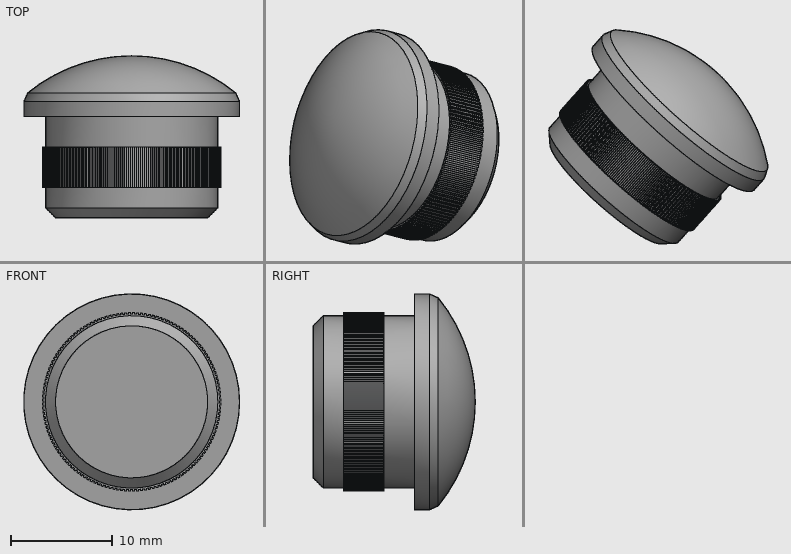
import cadquery as cq
import math

flange_radius = 10.65
flange_rim_height = 1.5
bevel_height = 0.85
dome_base_radius = 10.27
head_height = 6.0

shank_diameter = 17.0
shank_length = 10.0
tip_chamfer = 1.0

knurl_tip_radius = 8.8
knurl_tooth_depth = 0.138
knurl_start = 3.0
knurl_length = 4.0
tooth_count = 140

shank_radius = shank_diameter / 2
knurl_root_radius = knurl_tip_radius - knurl_tooth_depth
tooth_pitch_angle = 360 / tooth_count
tooth_width = math.pi * knurl_tip_radius / tooth_count
dome_base_height = flange_rim_height + bevel_height
dome_height = head_height - dome_base_height
dome_sphere_radius = (dome_base_radius**2 + dome_height**2) / (2 * dome_height)


def make_plug_body():
    """Domed head, flange and chamfered shank, revolved around the Y axis."""
    dome_center = head_height - dome_sphere_radius
    half_angle = math.asin(dome_base_radius / dome_sphere_radius) / 2
    dome_midpoint = (
        dome_sphere_radius * math.sin(half_angle),
        dome_center + dome_sphere_radius * math.cos(half_angle),
    )
    return (
        cq.Workplane("XY")
        .moveTo(0, -shank_length)
        .lineTo(shank_radius - tip_chamfer, -shank_length)
        .lineTo(shank_radius, tip_chamfer - shank_length)
        .lineTo(shank_radius, 0)
        .lineTo(flange_radius, 0)
        .lineTo(flange_radius, flange_rim_height)
        .lineTo(dome_base_radius, dome_base_height)
        .threePointArc(dome_midpoint, (0, head_height))
        .close()
        .revolve(360, (0, 0), (0, 1))
    )


def polar_point(radius, angle):
    """Point at a radius and an angle in degrees."""
    return (radius * math.cos(math.radians(angle)), radius * math.sin(math.radians(angle)))


def make_knurl():
    """Straight-toothed band around the shank, with a gap centred on the X and Z axes."""
    tip_half_angle = math.degrees(math.asin(tooth_width / 2 / knurl_tip_radius))
    root_half_angle = math.degrees(math.asin(tooth_width / 2 / knurl_root_radius))
    outline = []
    for tooth in range(tooth_count):
        tooth_angle = (tooth + 0.5) * tooth_pitch_angle
        outline.append(polar_point(knurl_root_radius, tooth_angle - root_half_angle))
        outline.append(polar_point(knurl_tip_radius, tooth_angle - tip_half_angle))
        outline.append(polar_point(knurl_tip_radius, tooth_angle + tip_half_angle))
        outline.append(polar_point(knurl_root_radius, tooth_angle + root_half_angle))
    return cq.Workplane("XZ", origin=(0, -knurl_start, 0)).polyline(outline).close().extrude(knurl_length)


result = make_plug_body().union(make_knurl())